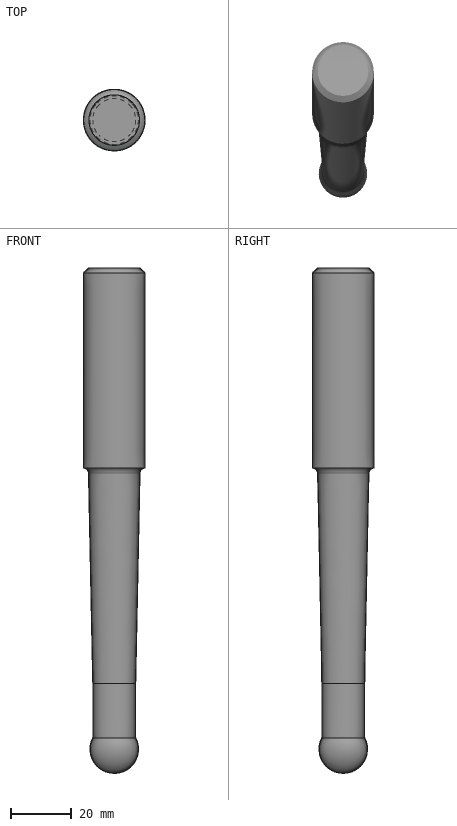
import cadquery as cq
import math

total_length = 166.0

shank_radius = 20.3 / 2
shank_bottom_z = 100.3
chamfer_width = 1.8
chamfer_height = 1.7

neck_top_radius = 8.5
fillet_radius = shank_radius - neck_top_radius
neck_top_z = shank_bottom_z - fillet_radius
fillet_mid_radius = shank_radius - fillet_radius * math.cos(math.pi / 4)
fillet_mid_z = neck_top_z + fillet_radius * math.sin(math.pi / 4)

tip_radius = 14.1 / 2
tip_top_z = 29.5
ball_radius = 8.0
ball_center_z = ball_radius
ball_top_z = ball_center_z + math.sqrt(ball_radius**2 - tip_radius**2)


def revolve_about_z(profile):
    """Revolve a closed half profile, drawn in XZ, a full turn about Z."""
    return profile.close().revolve(360, (0, 0, 0), (0, 1, 0))


def make_holder():
    """Shank with a chamfered top, blended by a fillet into the tapered neck."""
    profile = (
        cq.Workplane("XZ")
        .moveTo(0, tip_top_z)
        .lineTo(tip_radius, tip_top_z)
        .lineTo(neck_top_radius, neck_top_z)
        .threePointArc((fillet_mid_radius, fillet_mid_z), (shank_radius, shank_bottom_z))
        .lineTo(shank_radius, total_length - chamfer_height)
        .lineTo(shank_radius - chamfer_width, total_length)
        .lineTo(0, total_length)
    )
    return revolve_about_z(profile)


def make_tip():
    """Cylindrical stem that ends in a slightly wider ball."""
    profile = (
        cq.Workplane("XZ")
        .moveTo(0, tip_top_z)
        .lineTo(tip_radius, tip_top_z)
        .lineTo(tip_radius, ball_top_z)
        .threePointArc((ball_radius, ball_center_z), (0, ball_center_z - ball_radius))
    )
    return revolve_about_z(profile)


holder = make_holder()
tip = make_tip()

result = cq.Compound.makeCompound([holder.val(), tip.val()])